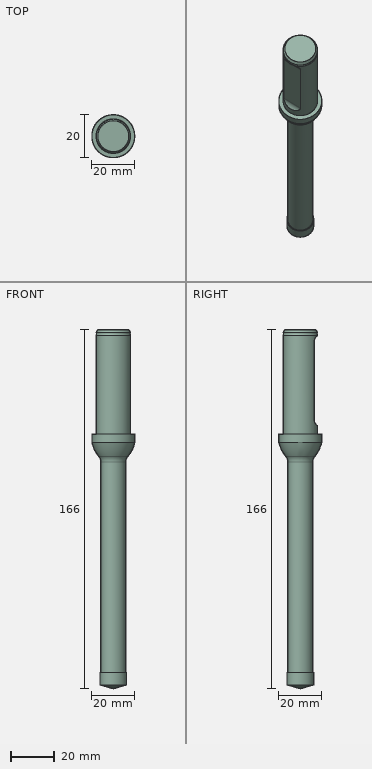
import cadquery as cq
import math

total_height = 166.0
shank_radius = 16.0 / 2
collar_radius = 20.0 / 2
rod_radius = 11.6 / 2
tip_radius = 12.5 / 2

tip_cone_height = 1.8
tip_top = 7.6

collar_top = 117.7
collar_bottom = 113.7
taper_bulge_z = 111.5
taper_bulge_radius = 9.3
taper_bottom = 107.4
taper_bottom_radius = 6.8
fillet_bottom = 104.9

end_face_radius = 7.1
bevel_bottom = total_height - 1.3
groove_height = 1.3
groove_bottom = bevel_bottom - groove_height
groove_arc_radius = 2.7 / 2
groove_depth = groove_arc_radius - math.sqrt(groove_arc_radius**2 - (groove_height / 2) ** 2)

flat_y = 6.5
flat_low_end = 121.5
flat_high_end = 163.2
flat_runout = 2.8


def make_tip():
    """Solid of revolution with its point at the origin."""
    profile = (
        cq.Workplane("XZ")
        .lineTo(tip_radius, tip_cone_height)
        .lineTo(tip_radius, tip_top)
        .lineTo(0, tip_top)
        .close()
    )
    return profile.revolve(360, (0, 0, 0), (0, 1, 0))


def make_turned_holder():
    """Rod, fillet, taper, collar and shank turned as one piece."""
    profile = (
        cq.Workplane("XZ")
        .moveTo(0, tip_top)
        .lineTo(rod_radius, tip_top)
        .lineTo(rod_radius, fillet_bottom)
        .tangentArcPoint((taper_bottom_radius, taper_bottom), relative=False)
        .threePointArc((taper_bulge_radius, taper_bulge_z), (collar_radius, collar_bottom))
        .lineTo(collar_radius, collar_top)
        .lineTo(shank_radius, collar_top)
        .lineTo(shank_radius, groove_bottom)
        .threePointArc(
            (shank_radius - groove_depth, groove_bottom + groove_height / 2),
            (shank_radius, bevel_bottom),
        )
        .lineTo(end_face_radius, total_height)
        .lineTo(0, total_height)
        .close()
    )
    return profile.revolve(360, (0, 0, 0), (0, 1, 0))


def make_flat_cutter():
    """Cutter for the flat, with arcs that run out to the shank surface at both ends."""
    depth = shank_radius - flat_y
    runout_arc_radius = (depth**2 + flat_runout**2) / (2 * depth)
    half_angle = math.atan2(depth, flat_runout)
    mid_rise = runout_arc_radius * (1 - math.cos(half_angle))
    mid_run = runout_arc_radius * math.sin(half_angle)
    low_start = flat_low_end + flat_runout
    high_start = flat_high_end - flat_runout
    return (
        cq.Workplane("YZ")
        .moveTo(shank_radius, flat_low_end)
        .threePointArc((flat_y + mid_rise, low_start - mid_run), (flat_y, low_start))
        .lineTo(flat_y, high_start)
        .threePointArc((flat_y + mid_rise, high_start + mid_run), (shank_radius, flat_high_end))
        .close()
        .extrude(shank_radius, both=True)
    )


tip = make_tip()
holder = make_turned_holder().cut(make_flat_cutter())

result = cq.Compound.makeCompound([holder.val(), tip.val()])